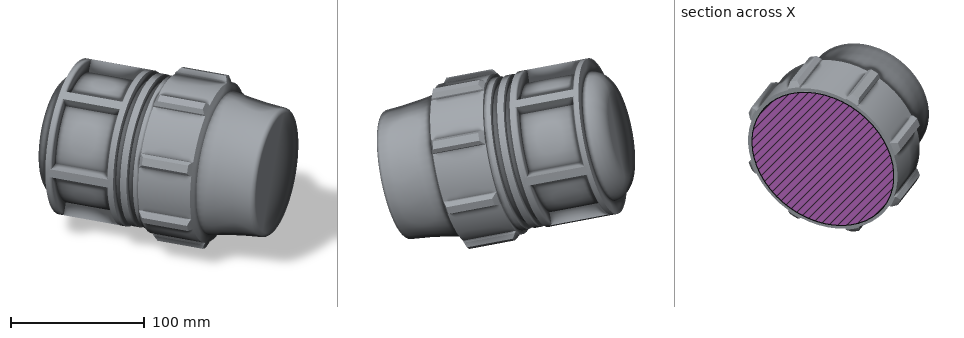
import cadquery as cq
import math


cap_radius = 49.6
dome_round = 17.1
dome_flat_radius = cap_radius - dome_round

flange_radius = 118.8 / 2
flange_start = 14.2
recess_start = 18.9
recess_end = 63.1
flange_end = 68.3
flange_edge_round = 1.5
body_rib_count = 6
body_rib_width = 6.8

neck_radius = 105.6 / 2
ring_radius = 116.42 / 2
nut_start = 88.8
ring_width = (nut_start - flange_end) / 4

nut_radius = 61.1
nut_end = 132.9
grip_count = 8
grip_radius = 65.95
grip_top_width = 6.1
grip_shoulder_radius = 62.5
grip_shoulder_width = 10.4
grip_bevel_radius = 62.0
grip_start_bevel = 3.4
grip_end_bevel = 4.6

sleeve_start_radius = 54.7
sleeve_end_radius = 49.3
sleeve_sag = 0.7
sleeve_end_round = 3.3
total_length = 177.0

overlap = 2.0


def spin(outline):
    """Turn a closed outline, drawn with X along the part and Y as radius, about the X axis."""
    return outline.close().revolve(360, (0, 0, 0), (1, 0, 0))


def disc(start, end, radius):
    return cq.Workplane("YZ", origin=(start, 0, 0)).circle(radius).extrude(end - start)


def make_cap_and_core():
    """Domed cap running on as the floor of the body recess."""
    arc_mid_offset = dome_round * math.sqrt(0.5)
    return spin(
        cq.Workplane("XY")
        .moveTo(0, 0)
        .lineTo(0, dome_flat_radius)
        .threePointArc(
            (dome_round - arc_mid_offset, dome_flat_radius + arc_mid_offset),
            (dome_round, cap_radius),
        )
        .lineTo(recess_end + overlap, cap_radius)
        .lineTo(recess_end + overlap, 0)
    )


def make_flanges():
    """Two flanges, each rounded on the edge that faces the recess."""
    first = disc(flange_start, recess_start, flange_radius).edges(">X").fillet(flange_edge_round)
    second = disc(recess_end, flange_end, flange_radius).edges("<X").fillet(flange_edge_round)
    return first.union(second)


def make_body_ribs():
    """Ribs across the recess, trimmed flush with the flange rims."""
    rib_start = (flange_start + recess_start) / 2
    rib_end = (recess_end + flange_end) / 2
    inner_radius = cap_radius - overlap
    ribs = cq.Workplane("XY")
    for index in range(body_rib_count):
        rib = cq.Workplane("XY").box(
            rib_end - rib_start,
            flange_radius + overlap - inner_radius,
            body_rib_width,
            centered=(False, False, True),
        )
        rib = rib.translate((rib_start, inner_radius, 0))
        ribs = ribs.union(rib.rotate((0, 0, 0), (1, 0, 0), index * 360 / body_rib_count))
    return ribs.intersect(disc(rib_start, rib_end, flange_radius))


def make_neck_and_rings():
    neck = disc(flange_end - overlap, nut_start + overlap, neck_radius)
    first_ring = disc(flange_end + ring_width, flange_end + 2 * ring_width, ring_radius)
    second_ring = disc(flange_end + 3 * ring_width, nut_start, ring_radius)
    return neck.union(first_ring).union(second_ring)


def make_nut():
    """Nut barrel with shouldered grip ribs, trimmed by a cone at each end."""
    barrel = disc(nut_start, nut_end, nut_radius)
    inner_radius = nut_radius - overlap
    grip_section = (
        cq.Workplane("YZ", origin=(nut_start, 0, 0))
        .moveTo(-grip_shoulder_width / 2, inner_radius)
        .lineTo(-grip_shoulder_width / 2, grip_shoulder_radius)
        .lineTo(-grip_top_width / 2, grip_radius)
        .lineTo(grip_top_width / 2, grip_radius)
        .lineTo(grip_shoulder_width / 2, grip_shoulder_radius)
        .lineTo(grip_shoulder_width / 2, inner_radius)
        .close()
    )
    grip = grip_section.extrude(nut_end - nut_start)
    grip_pitch = 360 / grip_count
    for index in range(grip_count):
        barrel = barrel.union(grip.rotate((0, 0, 0), (1, 0, 0), (index + 0.5) * grip_pitch))

    corner_radius = math.hypot(grip_radius, grip_top_width / 2)
    envelope = spin(
        cq.Workplane("XY")
        .moveTo(nut_start, 0)
        .lineTo(nut_start, grip_bevel_radius)
        .lineTo(nut_start + grip_start_bevel, corner_radius)
        .lineTo(nut_end - grip_end_bevel, corner_radius)
        .lineTo(nut_end, sleeve_start_radius)
        .lineTo(nut_end, 0)
    )
    return barrel.intersect(envelope)


def make_sleeve():
    """Sleeve narrowing along a shallow hollow curve to a rounded end."""
    round_start = total_length - sleeve_end_round
    middle_x = (nut_end + round_start) / 2
    middle_radius = (sleeve_start_radius + sleeve_end_radius) / 2 - sleeve_sag
    arc_mid_offset = sleeve_end_round * math.sqrt(0.5)
    face_radius = sleeve_end_radius - sleeve_end_round
    return spin(
        cq.Workplane("XY")
        .moveTo(nut_end, 0)
        .lineTo(nut_end, sleeve_start_radius)
        .threePointArc((middle_x, middle_radius), (round_start, sleeve_end_radius))
        .threePointArc(
            (round_start + arc_mid_offset, face_radius + arc_mid_offset),
            (total_length, face_radius),
        )
        .lineTo(total_length, 0)
    )


result = (
    make_cap_and_core()
    .union(make_flanges())
    .union(make_body_ribs())
    .union(make_neck_and_rings())
    .union(make_nut())
    .union(make_sleeve())
)